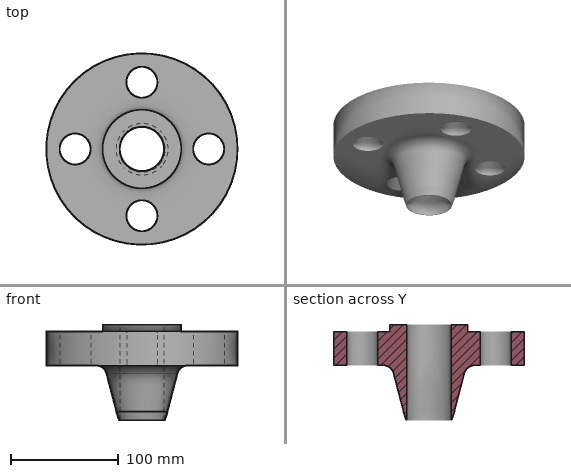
import cadquery as cq
import math

flange_diameter = 177.8
flange_thickness = 31.75

raised_face_diameter = 73.025
raised_face_height = 6.35

overall_height = 88.9
neck_base_diameter = 69.85
pipe_diameter = 48.0
weld_end_diameter = 42.5
bevel_height = 8.2
land_height = 1.0
neck_fillet_radius = 9.525

bore_diameter = 40.9
bolt_circle_diameter = 123.95
bolt_hole_diameter = 28.575
bolt_count = 4

top_z = flange_thickness + raised_face_height
bottom_z = top_z - overall_height
land_bottom_z = bottom_z + bevel_height
land_top_z = land_bottom_z + land_height


def neck_fillet_points():
    """Start, middle and end (r, z) of the arc blending the cone into the back face."""
    base_radius = neck_base_diameter / 2
    taper_angle = math.atan2(base_radius - pipe_diameter / 2, -land_top_z)
    corner_angle = math.pi / 2 + taper_angle
    tangent_length = neck_fillet_radius / math.tan(corner_angle / 2)
    center_r = base_radius + tangent_length
    center_z = -neck_fillet_radius

    def arc_point(angle):
        return (
            center_r + neck_fillet_radius * math.cos(angle),
            center_z + neck_fillet_radius * math.sin(angle),
        )

    cone_angle = math.pi - taper_angle
    face_angle = math.pi / 2
    return arc_point(cone_angle), arc_point((cone_angle + face_angle) / 2), arc_point(face_angle)


def make_body():
    """Solid of revolution: weld bevel, land, cone, fillet, disc and raised face."""
    fillet_start, fillet_middle, fillet_end = neck_fillet_points()
    profile = (
        cq.Workplane("XZ")
        .moveTo(0, bottom_z)
        .lineTo(weld_end_diameter / 2, bottom_z)
        .lineTo(pipe_diameter / 2, land_bottom_z)
        .lineTo(pipe_diameter / 2, land_top_z)
        .lineTo(*fillet_start)
        .threePointArc(fillet_middle, fillet_end)
        .lineTo(flange_diameter / 2, 0)
        .lineTo(flange_diameter / 2, flange_thickness)
        .lineTo(raised_face_diameter / 2, flange_thickness)
        .lineTo(raised_face_diameter / 2, top_z)
        .lineTo(0, top_z)
        .close()
    )
    return profile.revolve(360, (0, 0, 0), (0, 1, 0))


def make_bore():
    """Straight bore through the full height."""
    return (
        cq.Workplane("XY")
        .workplane(offset=bottom_z)
        .circle(bore_diameter / 2)
        .extrude(overall_height)
    )


def make_bolt_holes():
    """Bolt holes through the disc, evenly spaced and starting on the X axis."""
    return (
        cq.Workplane("XY")
        .polarArray(bolt_circle_diameter / 2, 0, 360, bolt_count)
        .circle(bolt_hole_diameter / 2)
        .extrude(flange_thickness)
    )


result = make_body().cut(make_bore()).cut(make_bolt_holes())